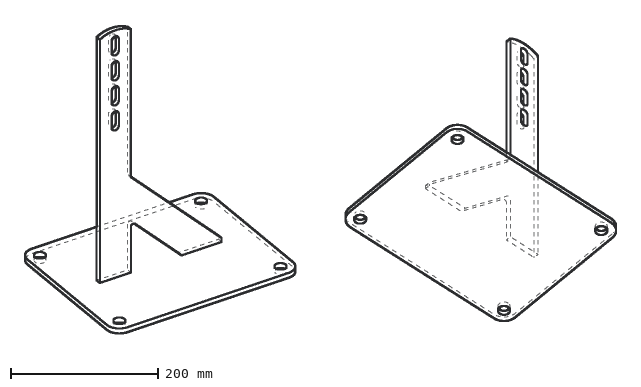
import cadquery as cq
import math

plate_width = 240.0
plate_length = 300.0
plate_thickness = 8.0
corner_radius = 20.0
hole_diameter = 16.5
hole_inset = corner_radius

total_height = 403.0
bracket_thickness = 8.0
post_width = 50.0
post_front = -100.0
post_back = post_front + post_width
post_middle = post_front + post_width / 2
crown_radius = post_width
crown_rise = crown_radius - math.sqrt(crown_radius**2 - (post_width / 2) ** 2)
shoulder_height = total_height - crown_rise

brace_width = post_width
brace_end = 96.5
heel_height = 6.0
heel_top = plate_thickness + heel_height
brace_joint_height = heel_top + (brace_end - post_back)
brace_foot = brace_end + heel_height - brace_width * math.sqrt(2)
crotch_height = plate_thickness + (brace_foot - post_back)
crotch_radius = 3.5

slot_count = 4
slot_width = 11.3
slot_length = 30.0
slot_pitch = 40.0
top_slot_drop = 25.0
top_slot_height = total_height - top_slot_drop


def make_base_plate():
    """Rounded rectangular plate with a through hole at each corner."""
    plate = cq.Workplane("XY").box(
        plate_width, plate_length, plate_thickness, centered=(True, True, False)
    )
    plate = plate.edges("|Z").fillet(corner_radius)
    hole_spacing_x = plate_width - 2 * hole_inset
    hole_spacing_y = plate_length - 2 * hole_inset
    return (
        plate.faces(">Z").workplane()
        .rect(hole_spacing_x, hole_spacing_y, forConstruction=True)
        .vertices()
        .hole(hole_diameter)
    )


def make_bracket_blank():
    """Post with a curved crown and a diagonal brace, in one flat piece."""
    blank = (
        cq.Workplane("YZ")
        .moveTo(post_front, plate_thickness)
        .lineTo(post_front, shoulder_height)
        .threePointArc((post_middle, total_height), (post_back, shoulder_height))
        .lineTo(post_back, brace_joint_height)
        .lineTo(brace_end, heel_top)
        .lineTo(brace_end, plate_thickness)
        .lineTo(brace_foot, plate_thickness)
        .lineTo(post_back, crotch_height)
        .lineTo(post_back, plate_thickness)
        .close()
        .extrude(bracket_thickness / 2, both=True)
    )
    crotch_edge = cq.selectors.NearestToPointSelector((0, post_back, crotch_height))
    return blank.edges("|X").edges(crotch_edge).fillet(crotch_radius)


def make_bracket():
    """Bracket blank with the row of slots cut through the post."""
    slot_centers = [
        (post_middle, top_slot_height - index * slot_pitch) for index in range(slot_count)
    ]
    slots = (
        cq.Workplane("YZ")
        .pushPoints(slot_centers)
        .slot2D(slot_length, slot_width, angle=90)
        .extrude(bracket_thickness, both=True)
    )
    return make_bracket_blank().cut(slots)


base_plate = make_base_plate()
bracket = make_bracket()
result = cq.Compound.makeCompound([base_plate.solids().val(), bracket.solids().val()])